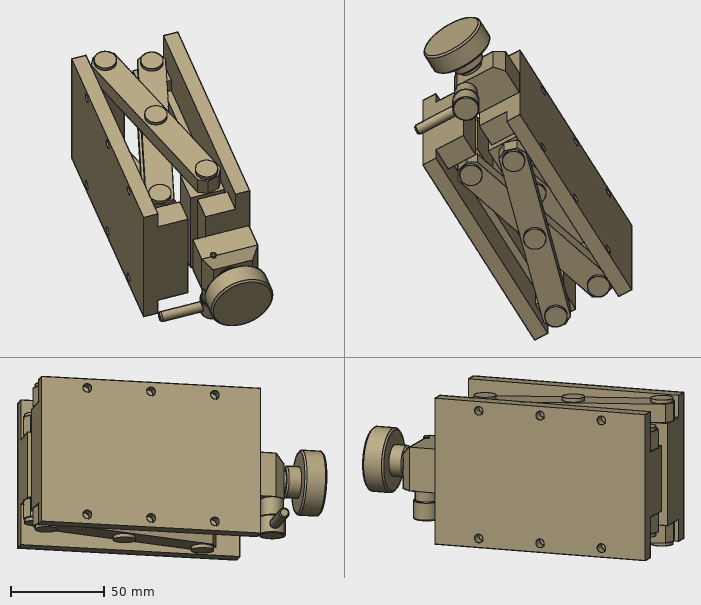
import cadquery as cq
import math


plate_length = 120.0
plate_width = 80.0
plate_thickness = 8.1
jack_height = 60.0
overall_length = 162.6

outer_y = jack_height / 2
inner_y = outer_y - plate_thickness
half_width = plate_width / 2

arm_pitch = 95.0
arm_rise = 26.3
arm_width = 15.0
arm_thickness = 10.1
arm_end_reach = 6.3
arm_end_chamfer = 3.9
pin_diameter = 12.0
pin_head = 2.0
pin_inset = 6.3

arm_angle = math.degrees(math.asin(arm_rise / arm_pitch))
arm_run = math.sqrt(arm_pitch**2 - arm_rise**2)
scissor_x = pin_inset + arm_run / 2
outer_arm_z = half_width - pin_head - arm_thickness
inner_arm_z = outer_arm_z - arm_thickness

block_length = 13.2
pivot_block_height = 17.2
end_block_height = 16.9
front_end_block_half_z = 29.6
rail_height = 4.0
rail_width = 19.5

slider_start = 87.7
slider_length = 17.0
slider_gap = 1.0
front_slider_height = 15.8
back_slider_height = 19.2

hole_diameter = 4.7
hole_depth = 6.5
hole_pitch_x = 35.0
hole_z = 35.0

housing_length = 20.0
housing_width = 24.0
housing_top_y = 29.6
housing_bottom_y = -2.1
housing_bevel_length = 5.4
housing_bevel_drop = 4.7
housing_end = plate_length + housing_length

clamp_x = plate_length + 14.0
clamp_y = 4.7
post_diameter = 12.2
post_length = 9.8
clamp_collar_diameter = 14.1
clamp_collar_length = 10.2
clamp_collar_chamfer = 0.5
lever_diameter = 5.5
lever_tip_y = -25.7
lever_tip_length = 1.0
lever_tip_chamfer = 0.7
stud_diameter = 3.1
stud_height = 1.1
stud_chamfer = 0.7

knob_y = 11.7
knob_neck_diameter = 12.2
knob_neck_length = 2.0
knob_hub_diameter = 17.0
knob_hub_length = 7.8
knob_hub_chamfer = 1.0
knob_diameter = 35.0
knob_chamfer = 1.0

arm_slope = math.radians(arm_angle)
arm_end_corner = arm_width / 2 - arm_end_chamfer
arm_end_x = arm_end_reach * math.cos(arm_slope) + arm_end_corner * math.sin(arm_slope)
arm_overhang = arm_end_x - pin_inset
knob_length = overall_length - arm_overhang - housing_end - knob_neck_length - knob_hub_length


def centred_box(x_start, length, y_start, height, half_z):
    """Box placed by its X and Y starts and centred on Z = 0."""
    box = cq.Workplane("XY").box(length, height, 2 * half_z, centered=(False, False, True))
    return box.translate((x_start, y_start, 0))


def make_plate(pivot_block_half_z, end_block_half_z):
    """Plate on the -Y side with its two blocks, rail and blind mounting holes."""
    plate = centred_box(0, plate_length, -outer_y, plate_thickness, half_width)
    pivot_block = centred_box(0, block_length, -inner_y, pivot_block_height, pivot_block_half_z)
    end_block_x = plate_length - block_length
    end_block = centred_box(end_block_x, block_length, -inner_y, end_block_height, end_block_half_z)
    rail = centred_box(0, plate_length, -inner_y, rail_height, rail_width / 2)
    plate = plate.union(pivot_block).union(end_block).union(rail)
    for column in (-1, 0, 1):
        for side in (-1, 1):
            hole = cq.Workplane("XZ").circle(hole_diameter / 2).extrude(-hole_depth)
            hole_x = plate_length / 2 + column * hole_pitch_x
            plate = plate.cut(hole.translate((hole_x, -outer_y, side * hole_z)))
    return plate


def make_slider(height, half_z):
    """Slider on the -Y side, grooved to straddle the rail."""
    slider = centred_box(slider_start, slider_length, -inner_y + slider_gap, height, half_z)
    rail = centred_box(0, plate_length, -inner_y, rail_height, rail_width / 2)
    return slider.cut(rail)


def flip_to_back(body):
    """Mirror a -Y side body to the +Y side."""
    return body.mirror("XZ")


def make_arm(angle, base_z, middle_head_z):
    """Arm with bevelled ends, a pin head on top of each end and one at its middle."""
    arm_length = arm_pitch + 2 * arm_end_reach
    arm = cq.Workplane("XY").box(arm_length, arm_width, arm_thickness, centered=(True, True, False))
    arm = arm.edges("|Z").chamfer(arm_end_chamfer)
    end_heads = cq.Workplane("XY").pushPoints([(-arm_pitch / 2, 0), (arm_pitch / 2, 0)])
    end_heads = end_heads.circle(pin_diameter / 2).extrude(pin_head)
    middle_head = cq.Workplane("XY").circle(pin_diameter / 2).extrude(pin_head)
    arm = arm.union(end_heads.translate((0, 0, arm_thickness)))
    arm = arm.union(middle_head.translate((0, 0, middle_head_z)))
    return arm.rotate((0, 0, 0), (0, 0, 1), angle).translate((scissor_x, 0, base_z))


def make_housing():
    """Drive housing, bevelled on three sides, with its clamp post, collar, lever and stud."""
    half_z = housing_width / 2
    bevel_start = housing_end - housing_bevel_length
    side_outline = [
        (plate_length, housing_bottom_y),
        (bevel_start, housing_bottom_y),
        (housing_end, housing_bottom_y + housing_bevel_drop),
        (housing_end, housing_top_y - housing_bevel_drop),
        (bevel_start, housing_top_y),
        (plate_length, housing_top_y),
    ]
    housing = cq.Workplane("XY").polyline(side_outline).close().extrude(half_z, both=True)
    top_bevel = cq.Workplane("XZ").polyline([
        (bevel_start, half_z),
        (housing_end, half_z),
        (housing_end, half_z - housing_bevel_drop),
    ]).close().extrude(jack_height, both=True)
    housing = housing.cut(top_bevel)

    stud = cq.Workplane("XY").circle(stud_diameter / 2).extrude(half_z + stud_height)
    stud = stud.faces(">Z").chamfer(stud_chamfer)
    post = cq.Workplane("XY").circle(post_diameter / 2).extrude(-post_length)
    collar = cq.Workplane("XY").circle(clamp_collar_diameter / 2).extrude(-clamp_collar_length)
    collar = collar.faces("<Z or >Z").chamfer(clamp_collar_chamfer)
    lever = cq.Workplane("XZ").circle(lever_diameter / 2).extrude(clamp_y - lever_tip_y)
    lever = lever.faces("<Y").chamfer(lever_tip_length, lever_tip_chamfer)

    collar_z = -half_z - post_length
    lever_z = collar_z - clamp_collar_length / 2
    for piece, base_z in ((stud, 0), (post, -half_z), (collar, collar_z), (lever, lever_z)):
        housing = housing.union(piece.translate((clamp_x, clamp_y, base_z)))
    return housing


def make_knob():
    """Knob with its hub and neck, turned about an axis along X."""
    neck = cq.Workplane("YZ").circle(knob_neck_diameter / 2).extrude(knob_neck_length)
    hub = cq.Workplane("YZ").circle(knob_hub_diameter / 2).extrude(knob_hub_length)
    hub = hub.faces("<X").chamfer(knob_hub_chamfer)
    grip = cq.Workplane("YZ").circle(knob_diameter / 2).extrude(knob_length)
    grip = grip.edges().chamfer(knob_chamfer)
    knob = neck.union(hub.translate((knob_neck_length, 0, 0)))
    knob = knob.union(grip.translate((knob_neck_length + knob_hub_length, 0, 0)))
    return knob.translate((housing_end, knob_y, 0))


front_plate = make_plate(outer_arm_z, front_end_block_half_z)
back_plate = flip_to_back(make_plate(inner_arm_z, outer_arm_z))
front_slider = make_slider(front_slider_height, inner_arm_z)
back_slider = flip_to_back(make_slider(back_slider_height, outer_arm_z))

outer_arm = make_arm(arm_angle, outer_arm_z, arm_thickness)
inner_arm = make_arm(-arm_angle, inner_arm_z, -pin_head)
arms = []
for arm in (outer_arm, inner_arm):
    arms.append(arm)
    arms.append(arm.mirror("XY"))

housing = make_housing()
knob = make_knob()

result = cq.Compound.makeCompound([
    front_plate.val(),
    back_plate.val(),
    front_slider.val(),
    back_slider.val(),
    *[arm.val() for arm in arms],
    housing.val(),
    knob.val(),
])